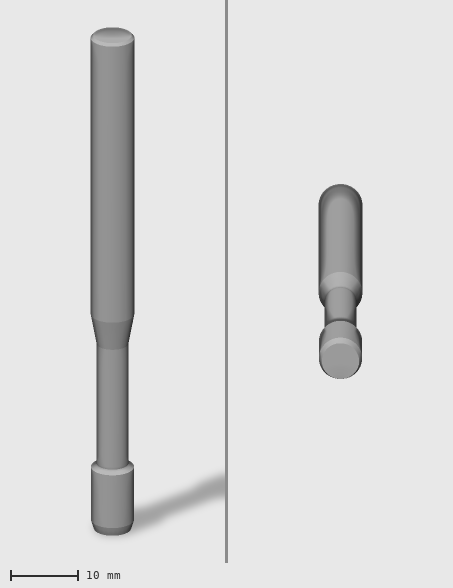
import cadquery as cq

total_length = 80.0
head_length = 10.6
neck_top = 30.0
taper_top = 34.8

shank_diameter = 6.5
head_diameter = 6.4
neck_diameter = 4.7
tip_diameter = 5.5

shank_chamfer = 0.4
tip_taper_length = 1.4
head_shoulder_height = 0.6

shank_radius = shank_diameter / 2
head_radius = head_diameter / 2
neck_radius = neck_diameter / 2
tip_radius = tip_diameter / 2


def turned_body(outline):
    """Revolve (radius, height) points around Z, starting at the -Y side."""
    points = [(-radius, height) for radius, height in outline]
    return cq.Workplane("YZ").polyline(points).close().revolve(360, (0, 0), (0, 1))


def make_head():
    """Head with a tapered tip and a sloping shoulder that ends at the neck."""
    return turned_body([
        (0, 0),
        (tip_radius, 0),
        (head_radius, tip_taper_length),
        (head_radius, head_length - head_shoulder_height),
        (neck_radius, head_length),
        (0, head_length),
    ])


def make_shank():
    """Neck standing on the head, widening through a taper into the chamfered shank."""
    return turned_body([
        (0, head_length),
        (neck_radius, head_length),
        (neck_radius, neck_top),
        (shank_radius, taper_top),
        (shank_radius, total_length - shank_chamfer),
        (shank_radius - shank_chamfer, total_length),
        (0, total_length),
    ])


head = make_head()
shank = make_shank()

result = cq.Compound.makeCompound([head.val(), shank.val()])